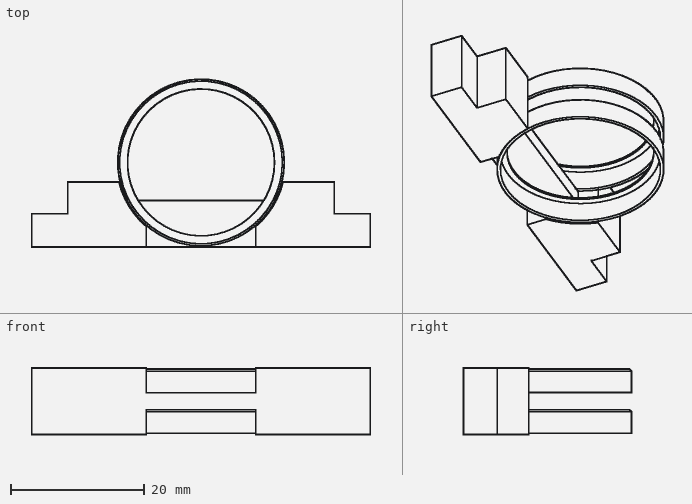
import cadquery as cq

HOLDER_LENGTH = 50.8
HOLDER_HEIGHT = 10.0
SHOULDER_LENGTH = 40.0
FLANGE_DEPTH = 5.05
SHOULDER_DEPTH = 9.8
WEB_THICKNESS = 2.55
WEB_DEPTH = 7.0
WINDOW_WIDTH = 16.35
POCKET_DIAMETER = 25.25

RING_DIAMETER = 25.0
RING_BORE = 24.0
LIP_BORE = 22.0
RING_HEIGHT = 3.55
LIP_THICKNESS = 0.3
RING_CHAMFER = 0.3

RING_CENTRE_Y = 12.7
UPPER_RING_BASE = WEB_THICKNESS / 2
LOWER_RING_BASE = -WEB_THICKNESS / 2 - RING_HEIGHT


def front_block(length, depth, height):
    """Block centred on X and Z that runs back from the front face."""
    return cq.Workplane("XY").box(length, depth, height, centered=(True, False, True))


def cylinder(diameter, height, base):
    """Upright cylinder on the common ring axis."""
    return (
        cq.Workplane("XY", origin=(0, RING_CENTRE_Y, base))
        .circle(diameter / 2)
        .extrude(height)
    )


def make_holder():
    flange = front_block(HOLDER_LENGTH, FLANGE_DEPTH, HOLDER_HEIGHT)
    shoulder = front_block(SHOULDER_LENGTH, SHOULDER_DEPTH, HOLDER_HEIGHT)
    block = flange.union(shoulder)

    window = (
        front_block(WINDOW_WIDTH, RING_CENTRE_Y, HOLDER_HEIGHT)
        .union(cylinder(POCKET_DIAMETER, HOLDER_HEIGHT, -HOLDER_HEIGHT / 2))
    )
    web = front_block(HOLDER_LENGTH, WEB_DEPTH, WEB_THICKNESS)
    return block.cut(window.cut(web))


def make_ring(base):
    ring = cylinder(RING_DIAMETER, RING_HEIGHT, base).faces(">Z").chamfer(RING_CHAMFER)
    ring = ring.cut(cylinder(RING_BORE, RING_HEIGHT - LIP_THICKNESS, base))
    return ring.cut(cylinder(LIP_BORE, RING_HEIGHT, base))


holder = make_holder()
rings = [make_ring(base) for base in (LOWER_RING_BASE, UPPER_RING_BASE)]

result = cq.Compound.makeCompound([holder.val(), *[ring.val() for ring in rings]])